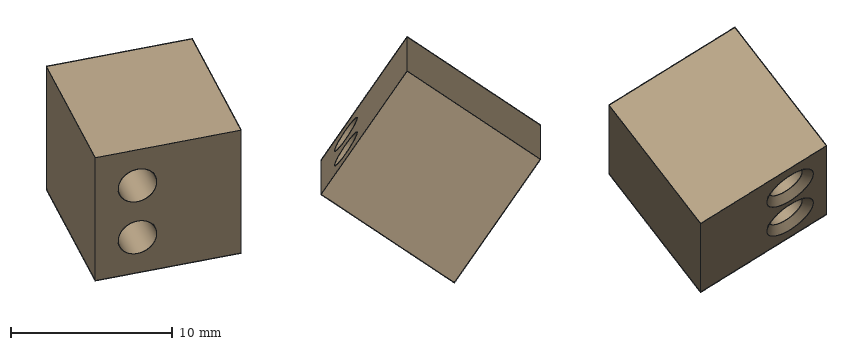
import cadquery as cq

LENGTH_X = 10.0
WIDTH_Y = 9.5
HEIGHT_Z = 9.5

HOLE_DIAMETER = 2.5
HOLE_SPACING_Z = 4.0
HOLE_EDGE_DISTANCE = 2.75
COUNTERSINK_DIAMETER = 3.5
COUNTERSINK_DEPTH = (COUNTERSINK_DIAMETER - HOLE_DIAMETER) / 2

HOLE_Y = -WIDTH_Y / 2 + HOLE_EDGE_DISTANCE
FACE_X = -LENGTH_X / 2


def countersunk_hole(z):
    """Cutter for one hole: a half profile revolved about the hole axis."""
    hole_radius = HOLE_DIAMETER / 2
    profile = (
        cq.Workplane("XY", origin=(FACE_X, HOLE_Y, z))
        .lineTo(0, COUNTERSINK_DIAMETER / 2)
        .lineTo(COUNTERSINK_DEPTH, hole_radius)
        .lineTo(LENGTH_X, hole_radius)
        .lineTo(LENGTH_X, 0)
        .close()
    )
    return profile.revolve(360, (0, 0, 0), (1, 0, 0))


result = cq.Workplane("XY").box(LENGTH_X, WIDTH_Y, HEIGHT_Z)
for hole_z in (-HOLE_SPACING_Z / 2, HOLE_SPACING_Z / 2):
    result = result.cut(countersunk_hole(hole_z))